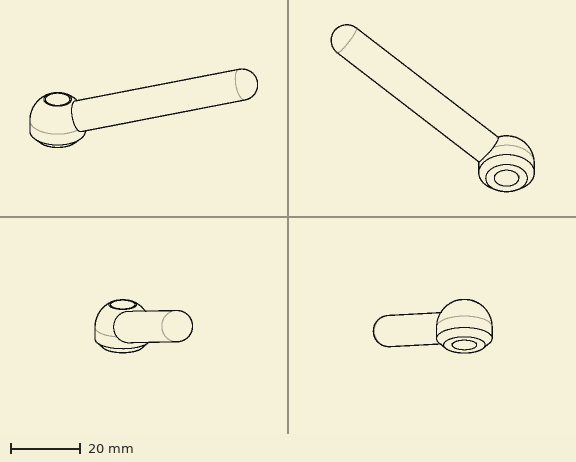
import cadquery as cq
import math

overall_length = 67.5
overall_height = 30.5

hub_diameter = 16.0
hub_radius = hub_diameter / 2
hub_height = 12.55
ball_center_height = 5.6
foot_chamfer = 2.0
hole_radius = 3.5

arm_radius = 4.5
tip_center_height = overall_height - arm_radius
tip_center_x = overall_length - hub_radius - arm_radius
tip_rise = tip_center_height - ball_center_height
arm_length = math.hypot(tip_center_x, tip_rise)


def make_hub():
    flat_radius = math.sqrt(hub_radius**2 - (hub_height - ball_center_height) ** 2)
    mid_angle = math.atan2(hub_height - ball_center_height, flat_radius) / 2
    arc_middle = (
        hub_radius * math.cos(mid_angle),
        ball_center_height + hub_radius * math.sin(mid_angle),
    )
    return (
        cq.Workplane("XZ")
        .lineTo(hub_radius - foot_chamfer, 0)
        .lineTo(hub_radius, foot_chamfer)
        .lineTo(hub_radius, ball_center_height)
        .threePointArc(arc_middle, (flat_radius, hub_height))
        .lineTo(0, hub_height)
        .close()
        .revolve(360, (0, 0, 0), (0, 1, 0))
    )


def make_arm():
    arm_start = cq.Plane(
        origin=(0, 0, ball_center_height),
        xDir=(0, 1, 0),
        normal=(tip_center_x, 0, tip_rise),
    )
    shaft = cq.Workplane(arm_start).circle(arm_radius).extrude(arm_length)
    tip = cq.Workplane(arm_start).workplane(offset=arm_length).sphere(arm_radius)
    return shaft.union(tip)


def make_bore():
    return cq.Workplane("XY").circle(hole_radius).extrude(hub_height)


result = make_hub().union(make_arm()).cut(make_bore())